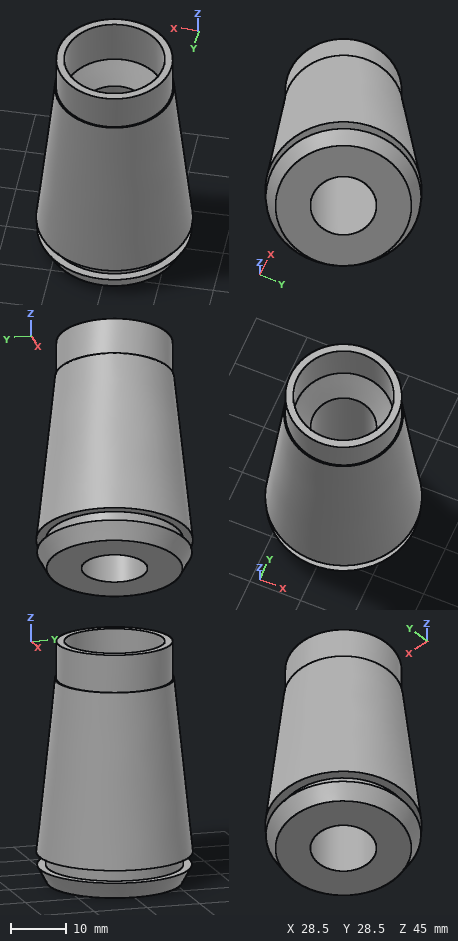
import cadquery as cq
import math

total_height = 45.0
flange_height = 3.25
groove_top = 5.62
body_top = 38.02

body_base_diameter = 28.5
flange_base_radius = 12.35
flange_radius = 14.1
groove_radius = 12.5
body_base_radius = body_base_diameter / 2
body_top_radius = 10.85
collar_radius = 10.58

counterbore_radius = 9.15
counterbore_depth = 8.65
bore_radius = 6.0
seat_half_angle = 40.0
seat_height = (counterbore_radius - bore_radius) / math.tan(math.radians(seat_half_angle))

counterbore_floor = total_height - counterbore_depth
seat_bottom = counterbore_floor - seat_height

half_section = (
    cq.Workplane("YZ")
    .moveTo(bore_radius, 0)
    .lineTo(flange_base_radius, 0)
    .lineTo(flange_radius, flange_height)
    .lineTo(groove_radius, flange_height)
    .lineTo(groove_radius, groove_top)
    .lineTo(body_base_radius, groove_top)
    .lineTo(body_top_radius, body_top)
    .lineTo(collar_radius, body_top)
    .lineTo(collar_radius, total_height)
    .lineTo(counterbore_radius, total_height)
    .lineTo(counterbore_radius, counterbore_floor)
    .lineTo(bore_radius, seat_bottom)
    .close()
)

result = half_section.revolve(360, (0, 0, 0), (0, 1, 0))